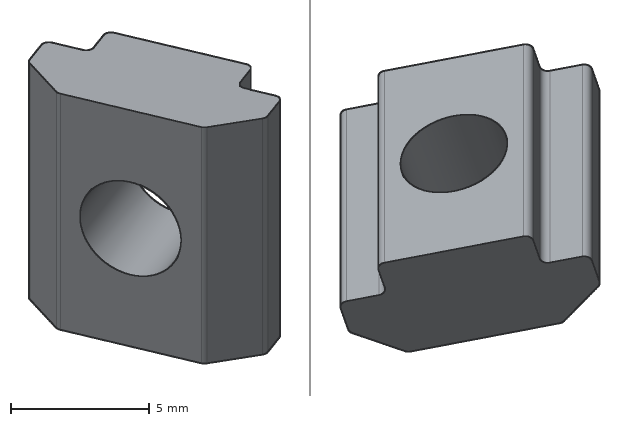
import cadquery as cq

width = 9.4
depth = 4.5
length = 10.2

step_depth = depth / 3
tongue_width = 5.79
base_width = 5.78
corner_radius = 0.3

hole_diameter = 4.0

base_y = -depth / 2
flank_y = base_y + step_depth
shoulder_y = flank_y + step_depth
tongue_y = depth / 2


def nut_body():
    """Extrude the symmetric T section along Z and round its long edges."""
    right_side = [
        (base_width / 2, base_y),
        (width / 2, flank_y),
        (width / 2, shoulder_y),
        (tongue_width / 2, shoulder_y),
        (tongue_width / 2, tongue_y),
    ]
    left_side = [(-x, y) for x, y in reversed(right_side)]
    section = cq.Workplane("XY").polyline(right_side + left_side).close()
    return section.extrude(length / 2, both=True).edges("|Z").fillet(corner_radius)


def through_hole():
    """Cylinder along Y through the centre of the nut."""
    tongue_face = cq.Workplane("XZ", origin=(0, tongue_y, 0))
    return tongue_face.circle(hole_diameter / 2).extrude(depth)


result = nut_body().cut(through_hole())